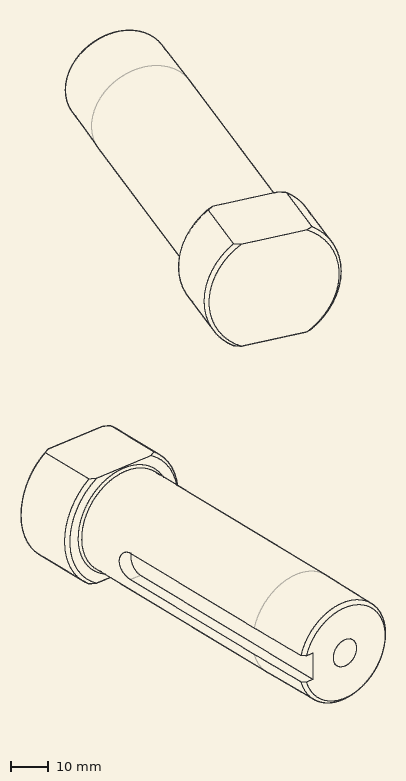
import cadquery as cq

total_length = 111.0
shank_radius = 15.0
head_length = 20.0
head_diameter = 39.0
width_across_flats = 32.0
edge_chamfer = 1.0

lead_length = 20.0
lead_tip_radius = 14.8
tip_chamfer = 1.0

collar_length = 0.7
collar_radius = 15.7

hole_radius = 4.0
hole_depth = 20.0
drill_point_depth = 2.3

keyway_width = 8.0
keyway_length = 74.9
keyway_floor = 11.0

head_start = total_length - head_length
head_radius = head_diameter / 2


def revolve_about_x(profile):
    return profile.close().revolve(360, (0, 0, 0), (1, 0, 0))


def make_shank():
    return revolve_about_x(
        cq.Workplane("XZ")
        .lineTo(0, lead_tip_radius - tip_chamfer)
        .lineTo(tip_chamfer, lead_tip_radius)
        .lineTo(lead_length, shank_radius)
        .lineTo(head_start - collar_length, shank_radius)
        .lineTo(head_start, collar_radius)
        .lineTo(head_start, 0)
    )


def make_head():
    disc = cq.Workplane("YZ", origin=(head_start, 0, 0)).circle(head_radius).extrude(head_length)
    disc = disc.edges("%CIRCLE").chamfer(edge_chamfer)
    head_centre = head_start + head_length / 2
    between_flats = cq.Workplane("XY", origin=(head_centre, 0, 0)).box(
        head_length, head_diameter, width_across_flats
    )
    return disc.intersect(between_flats)


def make_centre_hole():
    return revolve_about_x(
        cq.Workplane("XZ")
        .lineTo(0, hole_radius)
        .lineTo(hole_depth, hole_radius)
        .lineTo(hole_depth + drill_point_depth, 0)
    )


def make_keyway():
    end_radius = keyway_width / 2
    end_centre = keyway_length - end_radius
    outline = (
        cq.Workplane("XZ", origin=(0, keyway_floor, 0))
        .moveTo(0, -end_radius)
        .lineTo(end_centre, -end_radius)
        .threePointArc((keyway_length, 0), (end_centre, end_radius))
        .lineTo(0, end_radius)
        .close()
    )
    return outline.extrude(-shank_radius)


result = make_shank().union(make_head()).cut(make_centre_hole()).cut(make_keyway())